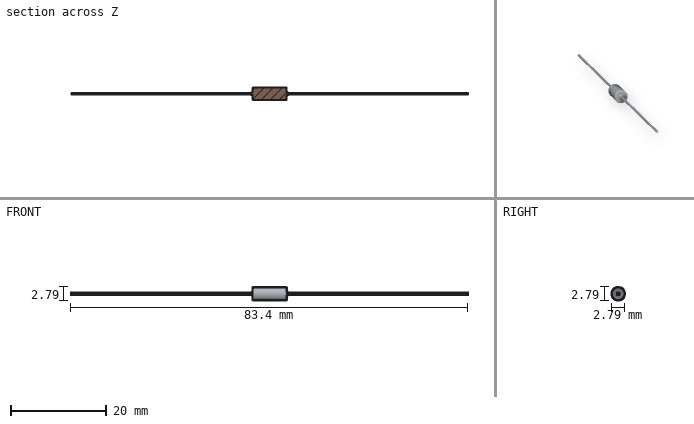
import cadquery as cq

body_length = 7.24
body_diameter = 2.794
body_edge_radius = 0.3
lead_length = 38.1
lead_diameter = 0.508
lead_root_radius = 0.3

overall_length = body_length + 2 * lead_length


def rod(diameter, length):
    """Cylinder lying along X, centred on the origin."""
    return cq.Workplane("YZ", origin=(-length / 2, 0, 0)).circle(diameter / 2).extrude(length)


def rounded_body():
    """Body cylinder with both end edges rounded."""
    return rod(body_diameter, body_length).faces("<X or >X").edges().fillet(body_edge_radius)


def fillet_lead_roots(part):
    """Blend each lead into the body's end face, leaving the lead tips sharp."""
    reach_x = overall_length / 4
    near_body = cq.selectors.BoxSelector(
        (-reach_x, -body_diameter, -body_diameter),
        (reach_x, body_diameter, body_diameter),
    )
    smallest_circles = cq.selectors.RadiusNthSelector(0)
    root_circles = part.edges(near_body).edges("%CIRCLE").edges(smallest_circles)
    return root_circles.fillet(lead_root_radius)


lead_wire = rod(lead_diameter, overall_length)
result = fillet_lead_roots(rounded_body().union(lead_wire))